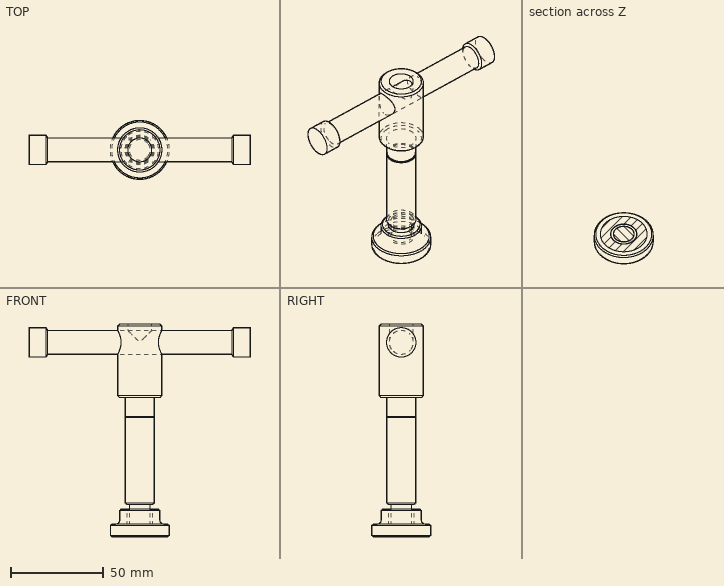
import cadquery as cq

BAR_LENGTH = 120.0
TOTAL_HEIGHT = 115.5

FOOT_DIAMETER = 32.0
FLANGE_HEIGHT = 7.0
COLLAR_DIAMETER = 22.0
FOOT_HEIGHT = 15.0
COLLAR_FILLET = 2.0
FOOT_CHAMFER = 0.8
SOCKET_DIAMETER = 14.0
SOCKET_FLOOR_Z = FLANGE_HEIGHT

HEAD_DIAMETER = 24.0
HEAD_HEIGHT = 40.0
HEAD_CHAMFER = 1.1
SHAFT_DIAMETER = 16.0
SHAFT_BOTTOM_Z = 17.5
SHAFT_CHAMFER = 1.0
NECK_DIAMETER = 11.3
GROOVE_BOTTOM_Z = 64.8
GROOVE_WIDTH = 0.6
GROOVE_DEPTH = 0.4
HEAD_BOTTOM_Z = TOTAL_HEIGHT - HEAD_HEIGHT

BAR_DIAMETER = 13.0
KNOB_DIAMETER = 16.0
KNOB_LENGTH = 9.2
KNOB_TAPER = 0.8
BAR_DROP = 10.0
BAR_AXIS_Z = TOTAL_HEIGHT - BAR_DROP


def cylinder_z(diameter, bottom_z, top_z):
    """Upright cylinder on the Z axis."""
    return cq.Workplane("XY").workplane(offset=bottom_z).circle(diameter / 2).extrude(top_z - bottom_z)


def bar_cylinder(length):
    """Horizontal cylinder of the bar's diameter, centred on the head."""
    return (
        cq.Workplane("YZ", origin=(-length / 2, 0, BAR_AXIS_Z))
        .circle(BAR_DIAMETER / 2)
        .extrude(length)
    )


def make_foot():
    """Stepped round foot with a collar fillet and a blind socket around the neck."""
    foot_radius = FOOT_DIAMETER / 2
    collar_radius = COLLAR_DIAMETER / 2
    body = (
        cq.Workplane("XZ")
        .lineTo(foot_radius - FOOT_CHAMFER, 0)
        .lineTo(foot_radius, FOOT_CHAMFER)
        .lineTo(foot_radius, FLANGE_HEIGHT - FOOT_CHAMFER)
        .lineTo(foot_radius - FOOT_CHAMFER, FLANGE_HEIGHT)
        .lineTo(collar_radius + COLLAR_FILLET, FLANGE_HEIGHT)
        .radiusArc((collar_radius, FLANGE_HEIGHT + COLLAR_FILLET), COLLAR_FILLET)
        .lineTo(collar_radius, FOOT_HEIGHT - FOOT_CHAMFER)
        .lineTo(collar_radius - FOOT_CHAMFER, FOOT_HEIGHT)
        .lineTo(0, FOOT_HEIGHT)
        .close()
        .revolve(360, (0, 0, 0), (0, 1, 0))
    )
    return body.cut(cylinder_z(SOCKET_DIAMETER, SOCKET_FLOOR_Z, FOOT_HEIGHT))


def make_spindle():
    """Grooved shaft and bored head, with a neck that rests on the socket floor with clearance around it."""
    head = cylinder_z(HEAD_DIAMETER, HEAD_BOTTOM_Z, TOTAL_HEIGHT).edges().chamfer(HEAD_CHAMFER)
    shaft = cylinder_z(SHAFT_DIAMETER, SHAFT_BOTTOM_Z, HEAD_BOTTOM_Z).edges("<Z").chamfer(SHAFT_CHAMFER)
    neck = cylinder_z(NECK_DIAMETER, SOCKET_FLOOR_Z, SHAFT_BOTTOM_Z)

    groove_top_z = GROOVE_BOTTOM_Z + GROOVE_WIDTH
    groove_core_diameter = SHAFT_DIAMETER - 2 * GROOVE_DEPTH
    groove = cylinder_z(SHAFT_DIAMETER, GROOVE_BOTTOM_Z, groove_top_z).cut(
        cylinder_z(groove_core_diameter, GROOVE_BOTTOM_Z, groove_top_z)
    )

    top_bore = cylinder_z(BAR_DIAMETER, BAR_AXIS_Z, TOTAL_HEIGHT)
    cross_bore = bar_cylinder(HEAD_DIAMETER)
    return head.union(shaft).union(neck).cut(groove).cut(top_bore).cut(cross_bore)


def make_bar():
    """Round bar whose end knobs taper down toward the bar."""
    bar = bar_cylinder(BAR_LENGTH)
    for side in (-1, 1):
        outer_x = side * BAR_LENGTH / 2
        shoulder_x = side * (BAR_LENGTH / 2 - KNOB_LENGTH)
        taper_x = shoulder_x - side * KNOB_TAPER
        knob = (
            cq.Workplane("XZ", origin=(0, 0, BAR_AXIS_Z))
            .moveTo(outer_x, 0)
            .lineTo(outer_x, KNOB_DIAMETER / 2)
            .lineTo(shoulder_x, KNOB_DIAMETER / 2)
            .lineTo(taper_x, BAR_DIAMETER / 2)
            .lineTo(taper_x, 0)
            .close()
            .revolve(360, (0, 0, 0), (1, 0, 0))
        )
        bar = bar.union(knob)
    return bar


foot = make_foot()
spindle = make_spindle()
bar = make_bar()

result = cq.Compound.makeCompound([*foot.solids().vals(), *spindle.solids().vals(), *bar.solids().vals()])